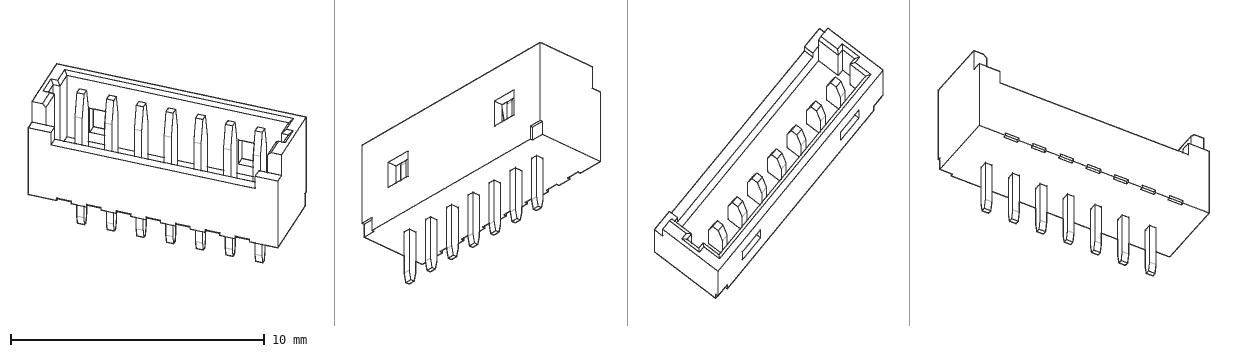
import cadquery as cq


LENGTH = 10.5
DEPTH = 3.2
HEIGHT = 4.2
FRONT_WALL = 0.42
BACK_WALL = 0.42
END_WALL = 0.59
FLOOR = 1.1

SHOULDER_HEIGHT = 3.21
FRONT_SLOT_BOTTOM = 2.62
FRONT_SLOT_LENGTH = 8.59

KEYWAY_DEPTH = 0.28
KEYWAY_FRONT = 1.41
KEYWAY_BACK = 2.0

BEVEL = 0.15

WINDOW_BOTTOM = 1.55
WINDOW_TOP = 2.71
WINDOW_LENGTH = 1.15

RELIEF_LENGTH = 0.61
RELIEF_HEIGHT = 0.13
RELIEF_DEPTH = 0.13
CORNER_NOTCH_DEPTH = 0.12
CORNER_NOTCH_HEIGHT = 0.6

PIN_COUNT = 7
PIN_PITCH = 1.25
PIN_THICKNESS = 0.3
PIN_Y = 2.01
BLADE_WIDTH = 0.7
BLADE_TIP_WIDTH = 0.28
BLADE_BOTTOM = FLOOR / 2
BLADE_TAPER_START = 2.99
BLADE_TOP = 4.01
TAIL_WIDTH = 0.35
TAIL_TIP_WIDTH = 0.18
TAIL_TAPER_START = -1.9
TAIL_BOTTOM = -2.3

PIN_XS = [(i - (PIN_COUNT - 1) / 2) * PIN_PITCH for i in range(PIN_COUNT)]
WINDOW_XS = [(PIN_XS[0] + PIN_XS[1]) / 2, (PIN_XS[-2] + PIN_XS[-1]) / 2]


def box(length, y_range, z_range, x_middle=0.0):
    """Box centred on x_middle and spanning the given Y and Z ranges."""
    y_low, y_high = y_range
    z_low, z_high = z_range
    corner = (x_middle - length / 2, y_low, z_low)
    return cq.Workplane("XY").box(length, y_high - y_low, z_high - z_low, centered=False).translate(corner)


def cavity_outline(spread=0.0):
    """Plan of the cavity, a rectangle with a keyway in each end; every wall is moved outward by spread."""
    front_y = FRONT_WALL - spread
    back_y = DEPTH - BACK_WALL + spread
    wall_x = LENGTH / 2 - END_WALL + spread
    keyway_x = wall_x + KEYWAY_DEPTH
    right_side = [
        (wall_x, front_y),
        (wall_x, KEYWAY_FRONT - spread),
        (keyway_x, KEYWAY_FRONT - spread),
        (keyway_x, KEYWAY_BACK + spread),
        (wall_x, KEYWAY_BACK + spread),
        (wall_x, back_y),
    ]
    left_side = [(-x, y) for x, y in reversed(right_side)]
    return right_side + left_side


def make_housing():
    body = box(LENGTH, (0, DEPTH), (0, HEIGHT))

    cavity = cq.Workplane("XY", origin=(0, 0, FLOOR)).polyline(cavity_outline()).close().extrude(HEIGHT - FLOOR)
    bevel = (
        cq.Workplane("XY", origin=(0, 0, HEIGHT - BEVEL))
        .polyline(cavity_outline())
        .close()
        .workplane(offset=BEVEL)
        .polyline(cavity_outline(spread=BEVEL))
        .close()
        .loft(ruled=True)
    )
    body = body.cut(cavity).cut(bevel)

    body = body.cut(box(LENGTH, (0, FRONT_WALL), (SHOULDER_HEIGHT, HEIGHT)))
    body = body.cut(box(FRONT_SLOT_LENGTH, (0, FRONT_WALL), (FRONT_SLOT_BOTTOM, HEIGHT)))

    for x in WINDOW_XS:
        body = body.cut(box(WINDOW_LENGTH, (DEPTH - BACK_WALL, DEPTH), (WINDOW_BOTTOM, WINDOW_TOP), x))

    for x in PIN_XS:
        body = body.cut(box(RELIEF_LENGTH, (0, RELIEF_DEPTH), (0, RELIEF_HEIGHT), x))

    for side in (-1, 1):
        notch_x = side * (LENGTH - END_WALL) / 2
        body = body.cut(box(END_WALL, (DEPTH - CORNER_NOTCH_DEPTH, DEPTH), (0, CORNER_NOTCH_HEIGHT), notch_x))

    for x in PIN_XS:
        body = body.cut(make_pin(x))
    return body


def make_pin(x):
    """Flat pin: a wide blade seated in the floor and a narrow tail below it."""
    back_edge = [
        (TAIL_TIP_WIDTH / 2, TAIL_BOTTOM),
        (TAIL_WIDTH / 2, TAIL_TAPER_START),
        (TAIL_WIDTH / 2, BLADE_BOTTOM),
        (BLADE_WIDTH / 2, BLADE_BOTTOM),
        (BLADE_WIDTH / 2, BLADE_TAPER_START),
        (BLADE_TIP_WIDTH / 2, BLADE_TOP),
    ]
    front_edge = [(-y, z) for y, z in reversed(back_edge)]
    profile = cq.Workplane("YZ").polyline(back_edge + front_edge).close()
    return profile.extrude(PIN_THICKNESS / 2, both=True).translate((x, PIN_Y, 0))


housing = make_housing()
pins = [make_pin(x) for x in PIN_XS]

result = cq.Compound.makeCompound([housing.val(), *[pin.val() for pin in pins]])